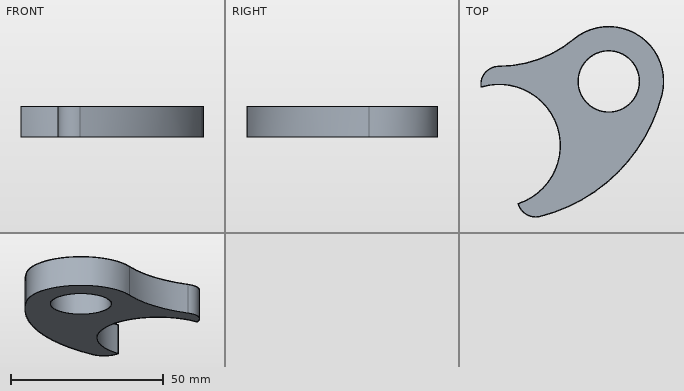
import cadquery as cq
import math

THICKNESS = 10.0
HOLE_DIAMETER = 20.0
HEAD_RADIUS = 18.0
SADDLE_RADIUS = 20.0
SADDLE_CENTER = (-35.9, -21.0)
TIP_RADIUS = 6.0
UPPER_TIP_CENTER = (-35.9, -1.0)
LOWER_TIP_CENTER = (-23.9, -38.4)
NECK_RADIUS = 38.0
BACK_RADIUS = 55.0

HEAD_CENTER = (0.0, 0.0)


def circle_crossing(center_a, radius_a, center_b, radius_b):
    """Crossing of two circles that lies to the left when going from a to b."""
    dx = center_b[0] - center_a[0]
    dy = center_b[1] - center_a[1]
    distance = math.hypot(dx, dy)
    along = (distance**2 + radius_a**2 - radius_b**2) / (2 * distance)
    across = math.sqrt(radius_a**2 - along**2)
    return (
        center_a[0] + (along * dx - across * dy) / distance,
        center_a[1] + (along * dy + across * dx) / distance,
    )


def point_toward(center, target, radius):
    """Point at the given radius from center, in the direction of target."""
    dx = target[0] - center[0]
    dy = target[1] - center[1]
    stretch = radius / math.hypot(dx, dy)
    return (center[0] + stretch * dx, center[1] + stretch * dy)


def arc_middle(center, radius, start, end, clockwise):
    """Point halfway along the arc from start to end."""
    start_angle = math.atan2(start[1] - center[1], start[0] - center[0])
    end_angle = math.atan2(end[1] - center[1], end[0] - center[0])
    if clockwise:
        sweep = -((start_angle - end_angle) % math.tau)
    else:
        sweep = (end_angle - start_angle) % math.tau
    middle = start_angle + sweep / 2
    return (center[0] + radius * math.cos(middle), center[1] + radius * math.sin(middle))


def hook_plate():
    """Hook outline of arcs, tangent except for the sharp corners at the saddle, as a plate."""
    neck_center = circle_crossing(
        UPPER_TIP_CENTER, NECK_RADIUS + TIP_RADIUS, HEAD_CENTER, NECK_RADIUS + HEAD_RADIUS
    )
    back_center = circle_crossing(
        LOWER_TIP_CENTER, BACK_RADIUS - TIP_RADIUS, HEAD_CENTER, BACK_RADIUS - HEAD_RADIUS
    )

    upper_corner = circle_crossing(SADDLE_CENTER, SADDLE_RADIUS, UPPER_TIP_CENTER, TIP_RADIUS)
    tip_to_neck = point_toward(neck_center, UPPER_TIP_CENTER, NECK_RADIUS)
    neck_to_head = point_toward(neck_center, HEAD_CENTER, NECK_RADIUS)
    head_to_back = point_toward(back_center, HEAD_CENTER, BACK_RADIUS)
    back_to_tip = point_toward(back_center, LOWER_TIP_CENTER, BACK_RADIUS)
    lower_corner = circle_crossing(LOWER_TIP_CENTER, TIP_RADIUS, SADDLE_CENTER, SADDLE_RADIUS)

    arcs = [
        (UPPER_TIP_CENTER, TIP_RADIUS, tip_to_neck, True),
        (neck_center, NECK_RADIUS, neck_to_head, False),
        (HEAD_CENTER, HEAD_RADIUS, head_to_back, True),
        (back_center, BACK_RADIUS, back_to_tip, True),
        (LOWER_TIP_CENTER, TIP_RADIUS, lower_corner, True),
        (SADDLE_CENTER, SADDLE_RADIUS, upper_corner, False),
    ]
    outline = cq.Workplane("XY").moveTo(*upper_corner)
    start = upper_corner
    for center, radius, end, clockwise in arcs:
        middle = arc_middle(center, radius, start, end, clockwise)
        outline = outline.threePointArc(middle, end)
        start = end
    return outline.close().extrude(THICKNESS)


def pivot_hole():
    """Cylinder that cuts the through hole in the head."""
    return cq.Workplane("XY").circle(HOLE_DIAMETER / 2).extrude(THICKNESS)


result = hook_plate().cut(pivot_hole())